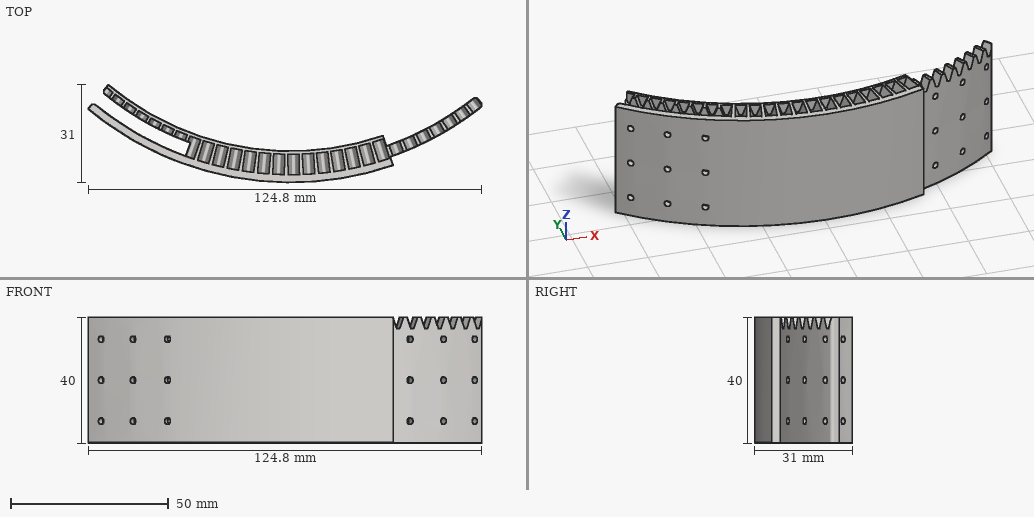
import cadquery as cq
import math

height = 40.0

outer_radius = 99.9
plate_thickness = 2.5
plate_inner_radius = outer_radius - plate_thickness
inner_radius = 89.9
backing_thickness = 1.0
backing_radius = inner_radius + backing_thickness
left_tab_outer_radius = 92.9
right_tab_inner_radius = 93.4
right_tab_outer_radius = 97.0

left_end = -40.0
right_end = 39.0
block_left_end = -20.0
block_right_end = 19.0
tab_root_angle = 0.0

tooth_pitch_angle = 20 / 7
middle_gap_angle = 0.6
gaps_to_left = 14
gaps_to_right = 13
gap_top_width = 3.6
gap_depth = 3.6
gap_root_radius = 0.4
flank_angle = 20.0

hole_diameter = 2.0
hole_angles = (23.0, 30.0, 37.0)
hole_spacing_z = 13.0

lead_in_radius = 1.0
plate_chamfer = 0.2


def polar(radius, angle):
    """Point in the XY plane at a radius and an angle from -Y."""
    turn = math.radians(angle)
    return (radius * math.sin(turn), -radius * math.cos(turn))


def arc_wall(r_in, r_out, start, end):
    """Full-height wall between two radii and two angles."""
    middle = (start + end) / 2
    return (
        cq.Workplane("XY")
        .moveTo(*polar(r_in, start))
        .threePointArc(polar(r_in, middle), polar(r_in, end))
        .lineTo(*polar(r_out, end))
        .threePointArc(polar(r_out, middle), polar(r_out, start))
        .close()
        .extrude(height)
    )


def edge_near(radius, angle, z):
    """Selector for the edge whose centre is nearest to a cylindrical position."""
    x, y = polar(radius, angle)
    return cq.selectors.NearestToPointSelector((x, y, z))


def round_corner(wall, radius, angle):
    """Round the upright edge of a wall at the given radius and angle."""
    return wall.edges(edge_near(radius, angle, height / 2)).fillet(lead_in_radius)


def radial_plane(angle, z):
    """Plane on the arc axis facing outward, with its local Y along Z."""
    x, y = polar(1, angle)
    return cq.Plane(origin=(0, 0, z), xDir=(-y, x, 0), normal=(x, y, 0))


def tooth_gap(angle):
    """Tapered cutter with rounded root corners, running outward from the backing."""
    floor_width = gap_top_width - 2 * gap_depth * math.tan(math.radians(flank_angle))
    length = outer_radius - backing_radius
    return (
        cq.Workplane(radial_plane(angle, height))
        .workplane(offset=backing_radius)
        .moveTo(-gap_top_width / 2, 0)
        .lineTo(-floor_width / 2, -gap_depth)
        .lineTo(floor_width / 2, -gap_depth)
        .lineTo(gap_top_width / 2, 0)
        .close()
        .extrude(length)
        .faces("<Z")
        .edges()
        .filter(lambda edge: edge.Length() > length / 2)
        .fillet(gap_root_radius)
    )


def radial_hole(angle, z):
    """Pin hole cutter from the arc axis out past the plate."""
    return (
        cq.Workplane(radial_plane(angle, z))
        .circle(hole_diameter / 2)
        .extrude(2 * outer_radius)
    )


def make_core():
    """Block with both tabs, toothed along the top outside the backing."""
    left_tab = arc_wall(inner_radius, left_tab_outer_radius, left_end, tab_root_angle)
    left_tab = round_corner(left_tab, left_tab_outer_radius, left_end)

    right_tab = arc_wall(right_tab_inner_radius, right_tab_outer_radius, tab_root_angle, right_end)
    right_tab = round_corner(right_tab, right_tab_inner_radius, right_end)
    right_tab = round_corner(right_tab, right_tab_outer_radius, right_end)

    block = arc_wall(inner_radius, plate_inner_radius, block_left_end, block_right_end)
    core = block.union(left_tab).union(right_tab)
    for index in range(-gaps_to_left, gaps_to_right + 1):
        core = core.cut(tooth_gap(middle_gap_angle + index * tooth_pitch_angle))
    return core


def make_plate():
    """Outer plate with a rounded inner end and a chamfered lower outside edge."""
    plate = arc_wall(plate_inner_radius, outer_radius, left_end, block_right_end)
    plate = round_corner(plate, plate_inner_radius, left_end)
    middle_angle = (left_end + block_right_end) / 2
    return plate.edges(edge_near(outer_radius, middle_angle, 0)).chamfer(plate_chamfer)


result = make_core().union(make_plate())
for hole_angle in hole_angles:
    for row in (-1, 0, 1):
        hole_z = height / 2 + row * hole_spacing_z
        result = result.cut(radial_hole(-hole_angle, hole_z))
        result = result.cut(radial_hole(hole_angle, hole_z))